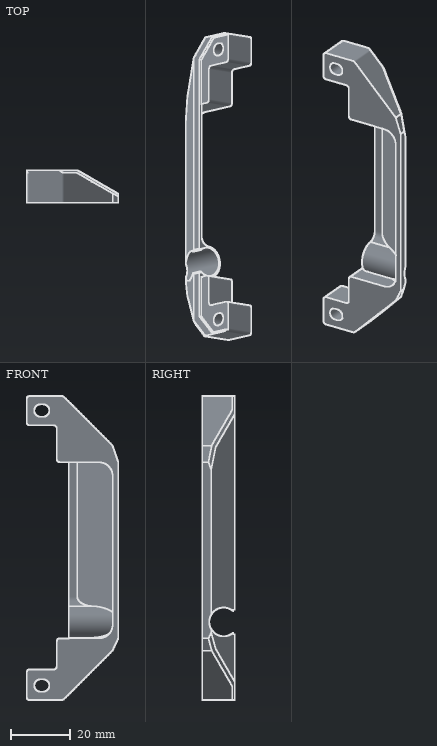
import cadquery as cq
import math

length = 102.3
reach = 30.9
depth = 11.0
overshoot = 1.0
pick_margin = 0.1

foot_inner_x = 10.1
lower_foot_top = 10.3
upper_foot_bottom = 92.4
flank_start_x = 12.3
flank_end_x = 29.0
grip_bottom = 20.8
grip_top = 80.0
corner_radius = 1.0

slope_start_x = 17.1
slope_angle = 30.0
wall = 1.1
back_chamfer = 0.9

wall_edge_x = 14.1
pocket_right_x = flank_end_x
pocket_radius = 4.6

channel_y = 7.3
channel_z = 26.3
channel_radius = 4.8
sleeve_radius = 5.3
sleeve_blend = 3.1
mouth_width = 8.2
mouth_depth = 0.6

slot_x = 5.1
slot_inset = 4.9
slot_length = 5.0
slot_height = 4.1
recess_depth = 0.9
recess_margin = 0.6
recess_flank_height = 7.2

flank_rise = flank_end_x - flank_start_x


def prism_y(points, y_start, y_end):
    """Extrude an XZ outline between two Y positions."""
    plane = cq.Workplane("XZ", origin=(0, y_start, 0))
    return plane.polyline(points).close().extrude(y_start - y_end)


def depth_profile(back_y, x_start, x_end, z_start, z_end):
    """Solid in front of the back surface: flat at back_y, then sloped forward."""
    slope = math.tan(math.radians(slope_angle))
    end_y = back_y - slope * (x_end - slope_start_x)
    points = [
        (x_start, -overshoot), (x_end, -overshoot), (x_end, end_y),
        (slope_start_x, back_y), (x_start, back_y),
    ]
    profile = cq.Workplane("XY", origin=(0, 0, z_start)).polyline(points).close()
    return profile.extrude(z_end - z_start)


def make_body():
    outline = [
        (0, 0), (flank_start_x, 0), (flank_end_x, flank_rise), (reach, grip_bottom),
        (reach, grip_top), (flank_end_x, length - flank_rise), (flank_start_x, length),
        (0, length), (0, upper_foot_bottom), (foot_inner_x, upper_foot_bottom),
        (foot_inner_x, grip_top), (wall_edge_x, grip_top), (wall_edge_x, grip_bottom),
        (foot_inner_x, grip_bottom), (foot_inner_x, lower_foot_top), (0, lower_foot_top),
    ]
    body = prism_y(outline, 0, depth)
    envelope = depth_profile(depth, 0, reach, 0, length)
    body = bevel_back(body.intersect(envelope))
    for x, z in outline:
        if x < wall_edge_x:
            body = round_corner(body, x, z)
    return body


def round_corner(body, x, z):
    """Round the outline corner at (x, z) through the whole depth."""
    corner = cq.selectors.BoxSelector(
        (x - pick_margin, -overshoot, z - pick_margin),
        (x + pick_margin, depth + overshoot, z + pick_margin),
    )
    return body.edges("|Y").edges(corner).fillet(corner_radius)


def bevel_back(body):
    """Bevel the back edges of both flanks and tapers, flat and sloped stretches alike."""
    for z_start, z_end in ((0, grip_bottom), (grip_top, length)):
        region = cq.selectors.BoxSelector(
            (flank_start_x, 0, z_start + pick_margin),
            (reach, depth + overshoot, z_end - pick_margin),
        )
        back_faces = body.faces("not(<Y or #Y)")
        body = back_faces.edges(region).edges("not(|Y or |Z)").chamfer(back_chamfer)
    return body


def make_pocket():
    pocket = depth_profile(depth - wall, 0, pocket_right_x, grip_bottom, grip_top)
    window = prism_y(
        [(0, grip_bottom), (pocket_right_x, grip_bottom), (pocket_right_x, grip_top), (0, grip_top)],
        -overshoot, depth,
    ).edges("|Y and >X").fillet(pocket_radius)
    return pocket.intersect(window)


def rod_x(y, z, radius):
    """Cylinder along X spanning the thin wall and beyond."""
    plane = cq.Workplane("YZ", origin=(wall_edge_x, y, z))
    return plane.circle(radius).extrude(reach + overshoot - wall_edge_x)


def make_sleeve():
    """Sleeve with concave blends into the back wall."""
    blend_offset = sleeve_radius + sleeve_blend
    block = cq.Workplane("XY").box(
        reach - wall_edge_x, depth - channel_y, 2 * blend_offset, centered=(False, False, True)
    ).translate((wall_edge_x, channel_y, channel_z))
    for side in (-1, 1):
        center_z = channel_z + side * blend_offset
        block = block.cut(rod_x(depth - wall - sleeve_blend, center_z, sleeve_blend))
    return block.union(rod_x(channel_y, channel_z, sleeve_radius))


def make_channel():
    mouth = cq.Workplane("XY").box(
        reach + overshoot - wall_edge_x, mouth_depth + overshoot, mouth_width, centered=(False, False, True)
    ).translate((wall_edge_x, depth - mouth_depth, channel_z))
    return rod_x(channel_y, channel_z, channel_radius).union(mouth)


def make_slots():
    plane = cq.Workplane("XZ")
    centers = [(slot_x, slot_inset), (slot_x, length - slot_inset)]
    return plane.pushPoints(centers).slot2D(slot_length, slot_height).extrude(-depth)


def make_recess():
    """Shallow recess in the back, beveled parallel to the flanks at both ends."""
    low = recess_margin
    high = length - recess_margin
    bevel_start_x = wall_edge_x - (recess_flank_height - recess_margin)
    outline = [
        (-overshoot, low), (bevel_start_x, low), (wall_edge_x, recess_flank_height),
        (wall_edge_x, length - recess_flank_height), (bevel_start_x, high), (-overshoot, high),
    ]
    return prism_y(outline, depth - recess_depth, depth + overshoot)


body = make_body()
sleeve = make_sleeve().intersect(body)
result = body.cut(make_pocket()).union(sleeve)
result = result.cut(make_channel()).cut(make_slots()).cut(make_recess())